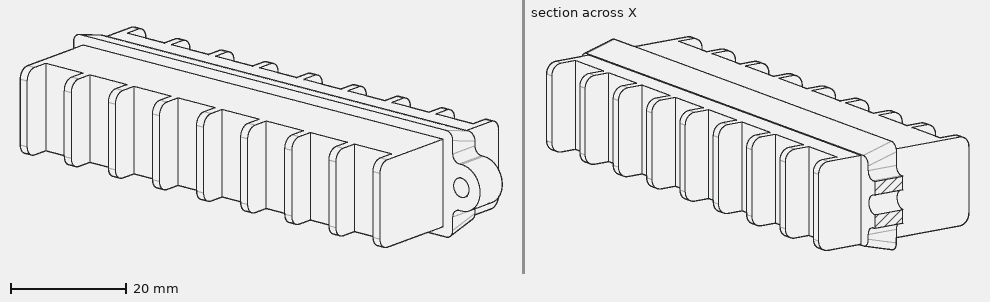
import cadquery as cq
import math

terminal_count = 8
terminal_pitch = 10.0
barrier_thickness = 1.6
barrier_corner_radius = 2.0
terminal_recess = 5.0

body_length = terminal_count * terminal_pitch + barrier_thickness
body_depth = 32.0
body_height = 16.0
body_front = -body_depth / 2
body_back = body_depth / 2

flange_length = 86.0
flange_height = 19.5
flange_thickness = 6.0
flange_taper_angle = 15.0
flange_corner_radius = 1.5
flange_setback = 9.0
flange_back = body_back - flange_setback
flange_front = flange_back - flange_thickness

overall_length = 98.4
ear_radius = 4.25
ear_center = overall_length / 2 - ear_radius
ear_root_radius = 1.5
ear_hole_diameter = 3.5


def make_body():
    """Full-depth block with its four long corners rounded."""
    block = cq.Workplane("XY").box(body_length, body_depth, body_height)
    return block.edges("|X").fillet(barrier_corner_radius)


def cut_terminal_recesses(body):
    """Open full-height recesses on the front and back, leaving barriers between them."""
    recess_width = terminal_pitch - barrier_thickness
    for index in range(terminal_count):
        x = (index - (terminal_count - 1) / 2) * terminal_pitch
        for y_face in (body_front, body_back):
            cutter = cq.Workplane("XY").box(recess_width, 2 * terminal_recess, body_height)
            body = body.cut(cutter.translate((x, y_face, 0)))
    return body


def make_flange_plate():
    """Plate with sloping top and bottom, square ends and rounded corners."""
    front_half_height = flange_height / 2
    taper_drop = flange_thickness * math.tan(math.radians(flange_taper_angle))
    back_half_height = front_half_height - taper_drop
    plate = (
        cq.Workplane("YZ")
        .polyline([
            (flange_front, -front_half_height),
            (flange_back, -back_half_height),
            (flange_back, back_half_height),
            (flange_front, front_half_height),
        ])
        .close()
        .extrude(flange_length / 2, both=True)
    )
    corner_edges = plate.faces("<X or >X").edges("not |Z")
    return corner_edges.fillet(flange_corner_radius)


def make_ears():
    """Round-ended bar along the flange; its ends project as the two ears."""
    return (
        cq.Workplane("XZ", origin=(0, flange_back, 0))
        .slot2D(overall_length, 2 * ear_radius)
        .extrude(flange_thickness)
    )


def make_flange():
    """Flange plate with filleted ear roots and a mounting hole in each ear."""
    flange = make_flange_plate().union(make_ears())
    for x in (-flange_length / 2, flange_length / 2):
        for z in (-ear_radius, ear_radius):
            root_point = (x, (flange_front + flange_back) / 2, z)
            root_edge = cq.selectors.NearestToPointSelector(root_point)
            flange = flange.edges(root_edge).fillet(ear_root_radius)
    holes = (
        cq.Workplane("XZ", origin=(0, flange_back, 0))
        .pushPoints([(-ear_center, 0), (ear_center, 0)])
        .circle(ear_hole_diameter / 2)
        .extrude(flange_thickness)
    )
    return flange.cut(holes)


result = cut_terminal_recesses(make_body()).union(make_flange())